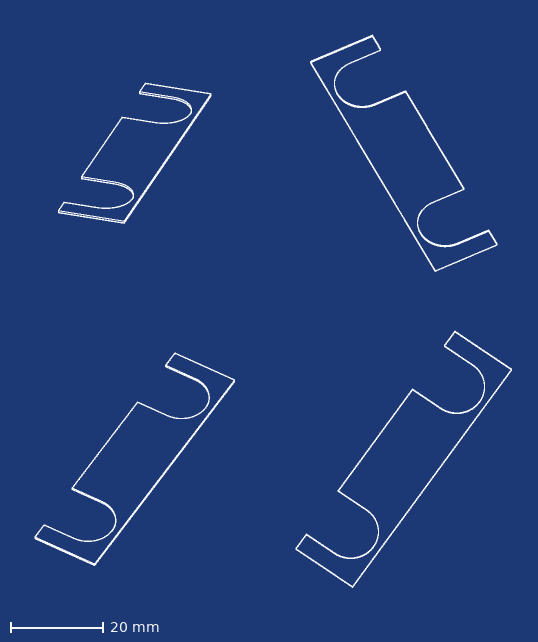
import cadquery as cq

plate_length = 60.0
plate_width = 15.0
plate_thickness = 0.5

slot_spacing = 40.0
slot_width = 12.0
slot_radius = slot_width / 2
open_edge_x = -plate_width / 2
slot_center_x = 0.0


def slot_cutter(center_y):
    """Straight slot from the open edge, ending in a half circle."""
    return (
        cq.Workplane("XY")
        .moveTo(open_edge_x, center_y - slot_radius)
        .lineTo(slot_center_x, center_y - slot_radius)
        .threePointArc(
            (slot_center_x + slot_radius, center_y),
            (slot_center_x, center_y + slot_radius),
        )
        .lineTo(open_edge_x, center_y + slot_radius)
        .close()
        .extrude(plate_thickness)
    )


result = cq.Workplane("XY").box(
    plate_width, plate_length, plate_thickness, centered=(True, True, False)
)
for side in (-1, 1):
    result = result.cut(slot_cutter(side * slot_spacing / 2))